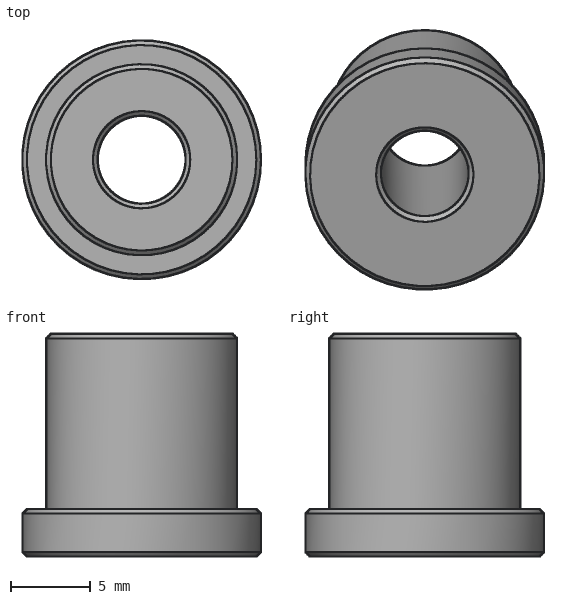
import cadquery as cq

flange_diameter = 15.0
flange_thickness = 3.0
body_diameter = 12.0
total_height = 14.0
bore_diameter = 5.5
edge_chamfer = 0.3


def chamfered_disc(diameter, height):
    """Upright cylinder on the XY plane with both rims chamfered."""
    disc = cq.Workplane("XY").circle(diameter / 2).extrude(height)
    return disc.faces("<Z or >Z").chamfer(edge_chamfer)


flange = chamfered_disc(flange_diameter, flange_thickness)
body = chamfered_disc(body_diameter, total_height)
bushing = flange.union(body)

bore = cq.Workplane("XY").circle(bore_diameter / 2).extrude(total_height)
bushing = bushing.cut(bore)
bore_mouths = cq.selectors.BoxSelector(
    (-bore_diameter, -bore_diameter, -edge_chamfer),
    (bore_diameter, bore_diameter, total_height + edge_chamfer),
    boundingbox=True,
)
result = bushing.edges("%CIRCLE").edges(bore_mouths).chamfer(edge_chamfer)